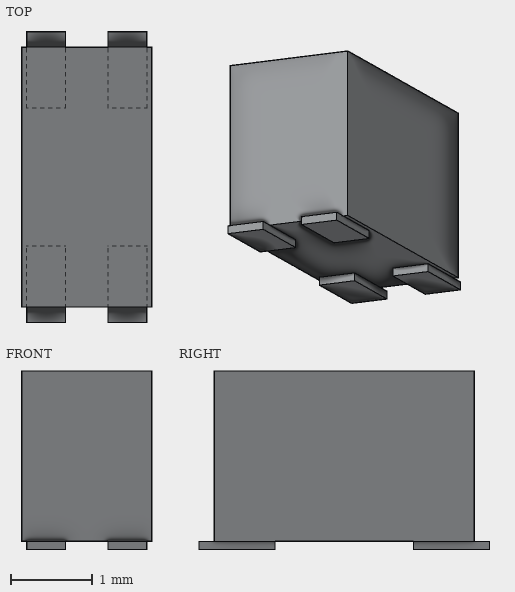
import cadquery as cq

housing_width = 1.6
housing_length = 3.2
housing_height = 2.1

pad_width = 0.48
pad_length = 0.94
pad_thickness = 0.1
pad_pitch = 1.0
pad_overhang = 0.19

pad_offset_x = pad_pitch / 2
pad_offset_y = housing_length / 2 + pad_overhang - pad_length / 2


def make_housing():
    """Plain block resting on top of the pads."""
    return (
        cq.Workplane("XY")
        .workplane(offset=pad_thickness)
        .rect(housing_width, housing_length)
        .extrude(housing_height)
    )


def make_pad(x, y):
    """Flat terminal pad centred at (x, y), standing on Z = 0."""
    return (
        cq.Workplane("XY")
        .center(x, y)
        .rect(pad_width, pad_length)
        .extrude(pad_thickness)
    )


housing = make_housing()
pads = [
    make_pad(side_x * pad_offset_x, side_y * pad_offset_y)
    for side_x in (-1, 1)
    for side_y in (-1, 1)
]

result = cq.Compound.makeCompound([housing.val(), *[pad.val() for pad in pads]])